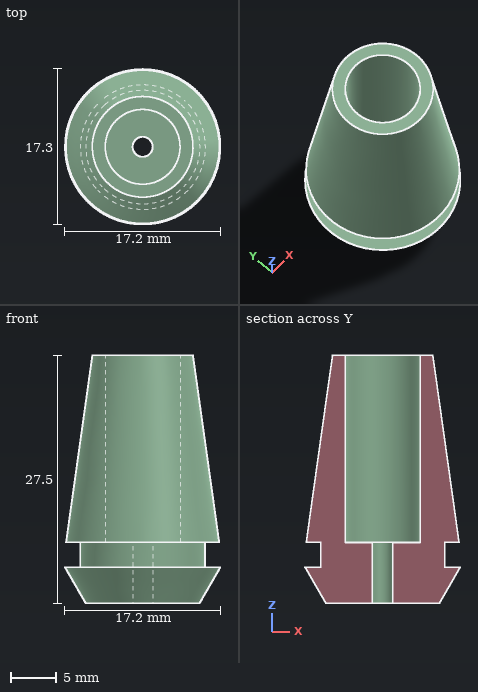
import cadquery as cq
import math

total_height = 27.5
nose_height = 4.0
groove_width = 2.75
body_bottom = nose_height + groove_width
body_height = total_height - body_bottom

flange_diameter = 17.25
body_diameter = 17.0
groove_diameter = 13.85
body_half_angle = 8.0
nose_half_angle = 30.0

bore_diameter = 8.3
hole_diameter = 2.2
bore_floor = body_bottom


def narrowed_radius(large_diameter, length, half_angle):
    """Radius at the small end of a cone."""
    return large_diameter / 2 - length * math.tan(math.radians(half_angle))


def make_collet():
    """Revolve half of the collet section about the Z axis."""
    nose_radius = narrowed_radius(flange_diameter, nose_height, nose_half_angle)
    top_radius = narrowed_radius(body_diameter, body_height, body_half_angle)
    section = [
        (hole_diameter / 2, 0),
        (nose_radius, 0),
        (flange_diameter / 2, nose_height),
        (groove_diameter / 2, nose_height),
        (groove_diameter / 2, body_bottom),
        (body_diameter / 2, body_bottom),
        (top_radius, total_height),
        (bore_diameter / 2, total_height),
        (bore_diameter / 2, bore_floor),
        (hole_diameter / 2, bore_floor),
    ]
    profile = cq.Workplane("YZ").polyline(section).close()
    return profile.revolve(360, (0, 0, 0), (0, 1, 0))


result = make_collet()